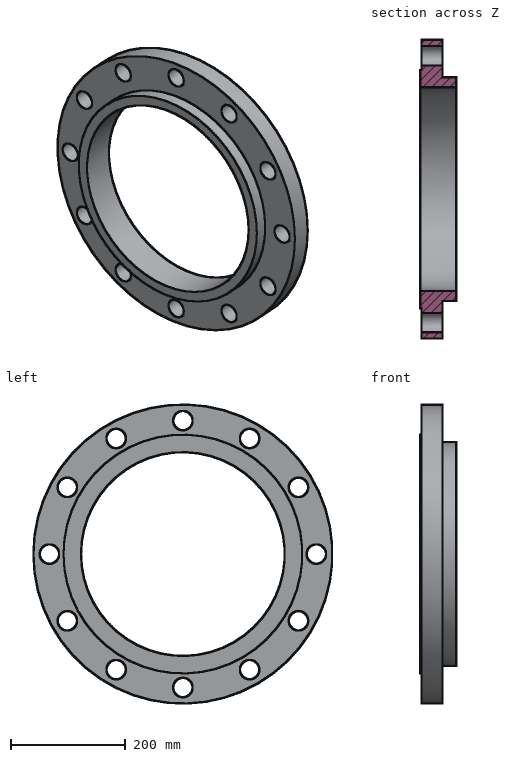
import cadquery as cq

flange_diameter = 520.5
flange_thickness = 37.0
bore_diameter = 354.0

face_diameter = 415.5
face_height = 2.0

hub_diameter = 390.5
hub_length = 24.0

bolt_count = 12
bolt_circle_diameter = 464.5
bolt_hole_diameter = 33.5

total_length = face_height + flange_thickness + hub_length


def disc(diameter, start, length):
    """Solid disc on the X axis, running from x = start toward +X."""
    return cq.Workplane("YZ", origin=(start, 0, 0)).circle(diameter / 2).extrude(length)


body = (
    disc(face_diameter, 0, face_height)
    .union(disc(flange_diameter, face_height, flange_thickness))
    .union(disc(hub_diameter, face_height + flange_thickness, hub_length))
)

bore = disc(bore_diameter, 0, total_length)

bolt_holes = (
    cq.Workplane("YZ")
    .polarArray(bolt_circle_diameter / 2, 0, 360, bolt_count)
    .circle(bolt_hole_diameter / 2)
    .extrude(total_length)
)

result = body.cut(bore).cut(bolt_holes)